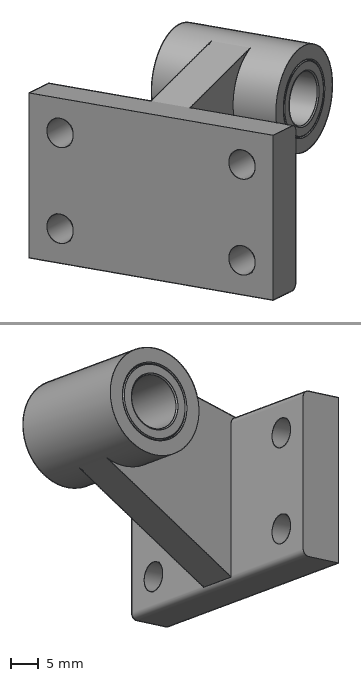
import cadquery as cq
import math

plate_length = 51.0
plate_height = 31.0
plate_thickness = 8.0
plate_edge_radius = 1.2
hole_diameter = 5.5
hole_spacing_x = 38.0
hole_spacing_z = 18.0

overall_depth = 42.0
overall_height = 37.5
barrel_diameter = 20.0
barrel_length = 26.0
bore_diameter = 10.0
bore_chamfer = 0.25
barrel_radius = barrel_diameter / 2
axis_y = overall_depth - barrel_radius
axis_z = overall_height - barrel_radius

groove_diameter = 14.15
groove_depth = 0.2

rib_width = 8.15
rib_tangent_radius = 9.9
rib_foot_y = plate_thickness - plate_edge_radius
rib_foot_bottom_z = 0.25


def make_plate():
    plate = cq.Workplane("XY").box(
        plate_length, plate_thickness, plate_height, centered=(True, False, False)
    )
    plate = plate.faces(">Y").edges("|X").fillet(plate_edge_radius)
    holes = (
        cq.Workplane("XZ", origin=(0, 0, plate_height / 2))
        .rarray(hole_spacing_x, hole_spacing_z, 2, 2)
        .circle(hole_diameter / 2)
        .extrude(-plate_thickness)
    )
    return plate.cut(holes)


def tangent_point(foot_y, foot_z, side):
    """Touch point on the rib circle of a line from the foot: side +1 is upper, -1 is lower."""
    to_foot_y = foot_y - axis_y
    to_foot_z = foot_z - axis_z
    distance = math.hypot(to_foot_y, to_foot_z)
    foot_angle = math.atan2(to_foot_z, to_foot_y)
    touch_angle = foot_angle - side * math.acos(rib_tangent_radius / distance)
    return (
        axis_y + rib_tangent_radius * math.cos(touch_angle),
        axis_z + rib_tangent_radius * math.sin(touch_angle),
    )


def make_rib():
    upper_foot = (rib_foot_y, plate_height)
    lower_foot = (rib_foot_y, rib_foot_bottom_z)
    outline = [
        upper_foot,
        tangent_point(*upper_foot, 1),
        (axis_y, axis_z),
        tangent_point(*lower_foot, -1),
        lower_foot,
    ]
    return (
        cq.Workplane("YZ", origin=(-rib_width / 2, 0, 0))
        .polyline(outline)
        .close()
        .extrude(rib_width)
    )


def make_barrel():
    return (
        cq.Workplane("YZ", origin=(-barrel_length / 2, axis_y, axis_z))
        .circle(barrel_radius)
        .extrude(barrel_length)
    )


def revolve_about_barrel_axis(profile):
    """Revolve a closed profile of (X, radius) points about the barrel axis."""
    return (
        cq.Workplane("XY", origin=(0, axis_y, axis_z))
        .polyline(profile)
        .close()
        .revolve(360, (0, 0), (1, 0))
    )


def make_bore():
    end = barrel_length / 2
    radius = bore_diameter / 2
    return revolve_about_barrel_axis([
        (-end, 0),
        (-end, radius + bore_chamfer),
        (-end + bore_chamfer, radius),
        (end - bore_chamfer, radius),
        (end, radius + bore_chamfer),
        (end, 0),
    ])


def make_groove(side):
    end = side * barrel_length / 2
    radius = groove_diameter / 2
    return revolve_about_barrel_axis([
        (end, radius - groove_depth),
        (end - side * groove_depth, radius),
        (end, radius + groove_depth),
    ])


result = make_plate().union(make_rib()).union(make_barrel()).cut(make_bore())
for end_side in (-1, 1):
    result = result.cut(make_groove(end_side))